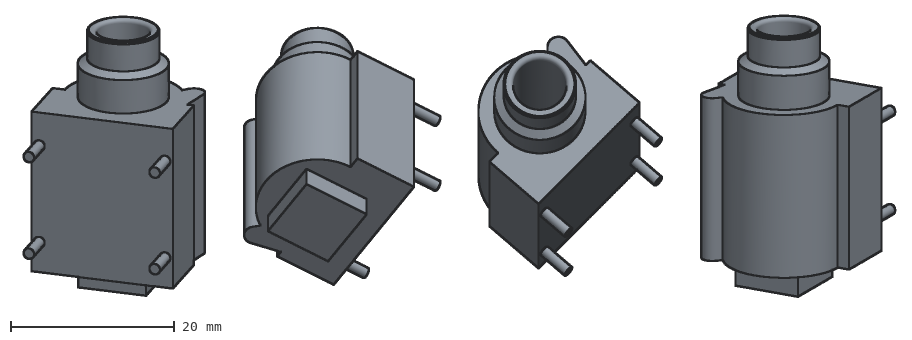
import cadquery as cq
import math

body_width = 18.2
body_height = 21.02
front_depth = 8.2
back_radius = 7.52

lobe_radius = 1.35
lobe_x = body_width / 2 - lobe_radius
lobe_y = 4.07
lobe_foot_x = 8.28
lobe_root_angle = 35.2

neck_radius = 5.6
shoulder_start = 4.4
shoulder_height = 0.7
collar_radius = 4.45
neck_height = 8.85
rim_chamfer = 0.2

bore_radius = 3.25
bore_depth = 19.7
mouth_rounding = 0.5
drill_point_angle = 118.0

plug_side = 8.75
plug_height = 32.85 - neck_height - body_height

pin_radius = 0.7
pin_length = 4.05
pin_spacing_x = 16.2
pin_heights = (-4.35, -17.05)


def lobe_tangent_point(point, side):
    """Point where a line from `point` touches the lobe circle; side is +1 or -1."""
    dx = point[0] - lobe_x
    dy = point[1] - lobe_y
    angle = math.atan2(dy, dx) + side * math.acos(lobe_radius / math.hypot(dx, dy))
    return (lobe_x + lobe_radius * math.cos(angle), lobe_y + lobe_radius * math.sin(angle))


def make_body():
    half_width = body_width / 2
    root_angle = math.radians(lobe_root_angle)
    middle_angle = (root_angle + math.pi) / 2
    lobe_foot = (lobe_foot_x, 0)
    lobe_root = (back_radius * math.cos(root_angle), back_radius * math.sin(root_angle))
    arc_middle = (back_radius * math.cos(middle_angle), back_radius * math.sin(middle_angle))
    return (
        cq.Workplane("XY")
        .moveTo(-half_width, -front_depth)
        .lineTo(half_width, -front_depth)
        .lineTo(half_width, 0)
        .lineTo(*lobe_foot)
        .lineTo(*lobe_tangent_point(lobe_foot, 1))
        .threePointArc((lobe_x, lobe_y + lobe_radius), lobe_tangent_point(lobe_root, -1))
        .lineTo(*lobe_root)
        .threePointArc(arc_middle, (-back_radius, 0))
        .lineTo(-half_width, 0)
        .close()
        .extrude(-body_height)
    )


def make_neck():
    return (
        cq.Workplane("XZ")
        .lineTo(neck_radius, 0)
        .lineTo(neck_radius, shoulder_start)
        .lineTo(collar_radius, shoulder_start + shoulder_height)
        .lineTo(collar_radius, neck_height - rim_chamfer)
        .lineTo(collar_radius - rim_chamfer, neck_height)
        .lineTo(0, neck_height)
        .close()
        .revolve(360, (0, 0), (0, 1))
    )


def make_bore():
    """Blind bore with a rounded mouth and a conical bottom."""
    floor = neck_height - bore_depth
    tip = floor - bore_radius / math.tan(math.radians(drill_point_angle / 2))
    rounding_offset = mouth_rounding * (1 - math.sqrt(0.5))
    return (
        cq.Workplane("XZ")
        .moveTo(0, tip)
        .lineTo(bore_radius, floor)
        .lineTo(bore_radius, neck_height - mouth_rounding)
        .threePointArc(
            (bore_radius + rounding_offset, neck_height - rounding_offset),
            (bore_radius + mouth_rounding, neck_height),
        )
        .lineTo(0, neck_height)
        .close()
        .revolve(360, (0, 0), (0, 1))
    )


def make_plug():
    return (
        cq.Workplane("XY", origin=(0, 0, -body_height))
        .rect(plug_side, plug_side)
        .extrude(-plug_height)
    )


def make_pins():
    half_spacing = pin_spacing_x / 2
    centers = [(x, z) for x in (-half_spacing, half_spacing) for z in pin_heights]
    return (
        cq.Workplane("XZ", origin=(0, -front_depth, 0))
        .pushPoints(centers)
        .circle(pin_radius)
        .extrude(pin_length)
    )


result = make_body().union(make_neck()).union(make_plug()).union(make_pins()).cut(make_bore())